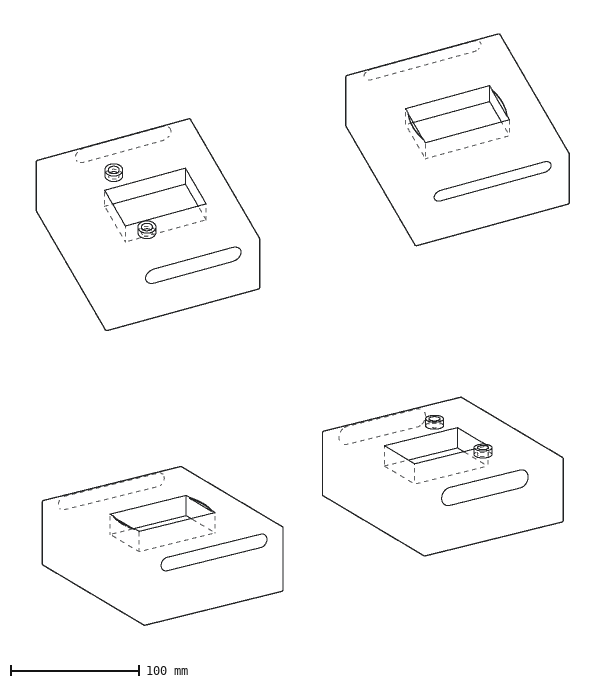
import cadquery as cq
import math

WIDTH = 148.0
OVERALL_LENGTH = 390.0
BLOCK_LENGTH = 130.0
BLOCK_HEIGHT = 55.0
EDGE_ROUND = 1.5
BLOCK_OFFSET = (OVERALL_LENGTH - BLOCK_LENGTH) / 2

REAR_POCKET_WIDTH = 41.7
REAR_POCKET_LENGTH = 70.5
REAR_POCKET_DEPTH = 17.0
RELIEF_WIDTH = 32.0
RELIEF_DEPTH = 0.8
RELIEF_REACH = 2.5
REAR_GRIP_LENGTH = 98.3
REAR_GRIP_HEIGHT = 11.5
REAR_GRIP_DIAMETER = 16.0

FRONT_POCKET_WIDTH = 43.5
FRONT_POCKET_LENGTH = 68.0
FRONT_POCKET_DEPTH = 17.0
FRONT_POCKET_Y = 6.2
FRONT_GRIP_LENGTH = 80.5
FRONT_GRIP_HEIGHT = 15.2
FRONT_GRIP_DIAMETER = 21.5
FRONT_GRIP_Y = 8.5
BOSS_DIAMETER = 14.0
BOSS_BORE = 8.5
BOSS_HEIGHT = 6.0
BOSS_SPACING = 70.0
BOSS_Y = -15.0

GRIP_RIM = 1.5


def block():
    """Rounded block centred in X and Y, standing on Z = 0."""
    body = cq.Workplane("XY").box(WIDTH, BLOCK_LENGTH, BLOCK_HEIGHT, centered=(True, True, False))
    return body.edges().fillet(EDGE_ROUND)


def pocket(width, length, depth, y):
    """Rectangular cutter sunk from the top face."""
    return (
        cq.Workplane("XY", origin=(0, y, BLOCK_HEIGHT - depth))
        .rect(width, length)
        .extrude(depth)
    )


def side_grip(side, length, height, diameter, y):
    """Ball-ended cutter along Y, its axis outside the face so that its opening is length by height."""
    radius = diameter / 2
    straight = length - height
    axis_gap = math.sqrt(radius**2 - (height / 2) ** 2)
    center = (side * (WIDTH / 2 + axis_gap), y, BLOCK_HEIGHT - GRIP_RIM - height / 2)
    cutter = cq.Workplane("XZ").circle(radius).extrude(straight / 2, both=True)
    for end in (-1, 1):
        ball = cq.Workplane("XY").sphere(radius).translate((0, end * straight / 2, 0))
        cutter = cutter.union(ball)
    return cutter.translate(center)


def pocket_relief(end):
    """Shallow circular-segment cutter bulging out of a rear pocket end wall."""
    wall = end * REAR_POCKET_LENGTH / 2
    return (
        cq.Workplane("XY", origin=(0, 0, BLOCK_HEIGHT - RELIEF_DEPTH))
        .moveTo(-RELIEF_WIDTH / 2, wall)
        .threePointArc((0, wall + end * RELIEF_REACH), (RELIEF_WIDTH / 2, wall))
        .close()
        .extrude(RELIEF_DEPTH)
    )


def boss(x):
    """Hollow boss standing on the top face."""
    return (
        cq.Workplane("XY", origin=(x, BOSS_Y, BLOCK_HEIGHT))
        .circle(BOSS_DIAMETER / 2)
        .circle(BOSS_BORE / 2)
        .extrude(BOSS_HEIGHT)
    )


def make_rear_housing():
    body = block().cut(pocket(REAR_POCKET_WIDTH, REAR_POCKET_LENGTH, REAR_POCKET_DEPTH, 0))
    for end in (-1, 1):
        body = body.cut(pocket_relief(end))
    for side in (-1, 1):
        body = body.cut(side_grip(side, REAR_GRIP_LENGTH, REAR_GRIP_HEIGHT, REAR_GRIP_DIAMETER, 0))
    return body.translate((0, BLOCK_OFFSET, 0))


def make_front_housing():
    body = block().cut(
        pocket(FRONT_POCKET_WIDTH, FRONT_POCKET_LENGTH, FRONT_POCKET_DEPTH, FRONT_POCKET_Y)
    )
    for side in (-1, 1):
        grip = side_grip(
            side, FRONT_GRIP_LENGTH, FRONT_GRIP_HEIGHT, FRONT_GRIP_DIAMETER, FRONT_GRIP_Y
        )
        body = body.cut(grip)
        body = body.union(boss(side * BOSS_SPACING / 2))
    return body.translate((0, -BLOCK_OFFSET, 0))


rear_housing = make_rear_housing()
front_housing = make_front_housing()
result = cq.Compound.makeCompound([rear_housing.val(), front_housing.val()])